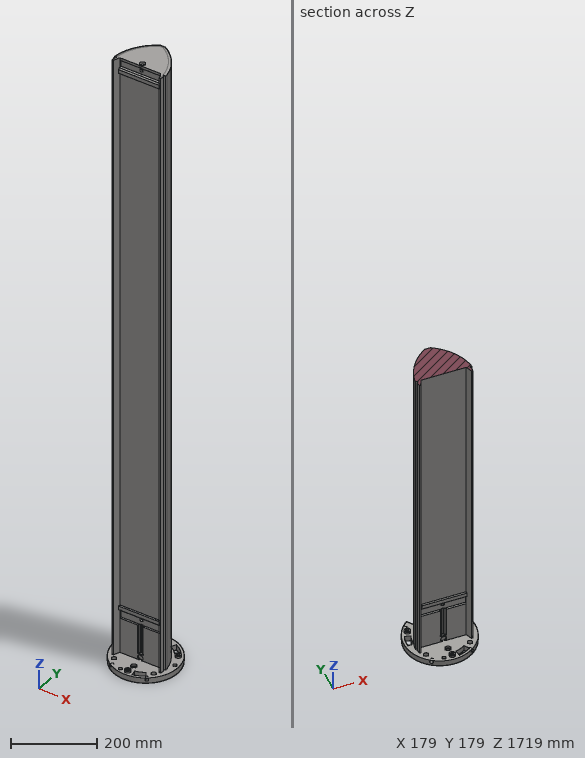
import cadquery as cq
import math

total_height = 1719.0
plate_diameter = 179.0
plate_thickness = 15.0

column_half_width = 70.0
shoulder_y = -17.0
lip_tip_y = -40.0
back_y = 72.0
back_flat_half_width = 7.0
side_bulge = (45.5, 38.7)
lip_outer_half_width = 67.0
lip_inner_half_width = 64.0
lip_groove_start_y = -24.0
lip_groove_end_y = -30.0
lip_groove_depth = 5.0
lip_ridge_half_width = 69.0
panel_half_width = 57.0

end_plate_y = -18.0
panel_y = -23.2
bar_y = -28.4
cap_thickness = 7.0
end_plate_height = 20.0
door_top_z = 113.0
bar_bottom_z = 138.0
bar_height = 14.0
bar_chamfer = 3.0
end_screw_diameter = 8.5
end_screw_depth = 5.0
end_screw_offset = 10.0

groove_width = 15.0
groove_depth = 3.0
inner_groove_width = 5.0
inner_groove_depth = 7.0
groove_bottom_z = 33.0
door_hole_diameter = 15.0
door_hole_z = 22.0

cap_bevel_width = 7.0
cap_bevel_height = 2.0
cap_notch_diameter = 15.0
cap_notch_y = -14.0

hanger_y = -2.0
hanger_width = 9.5
hanger_head_radius = 15.0
hanger_head_z = 1635.0
hanger_bottom_z = 1540.0
hanger_depth = 10.0
hanger_inner_width = 4.5
hanger_inner_depth = 15.0

bolt_circle_radius = 75.0
bolt_head_diameter = 15.0
bolt_head_height = 5.0
bolt_socket_diameter = 7.7
bolt_socket_depth = 3.0
bolt_angles = (-90, 30, 150)
slot_radius = 74.8
slot_width = 15.0
slot_start_angle = 161
slot_end_angle = 184
notch_start_angle = 99
notch_end_angle = 127
notch_floor_radius = 67.0
front_hole_x = 55.0
front_hole_y = -50.0
front_hole_diameter = 12.0
center_hole_diameter = 7.7
center_counterbore_diameter = 15.0
center_counterbore_depth = 5.0
pin_holes = (((-20.0, -75.0), 9.0), ((77.0, 5.0), 9.5))
pin_hole_depth = 7.0
rim_hole_angles = (-125, -55, 138)
rim_hole_diameter = 8.5
rim_hole_z = 10.0
rim_hole_depth = 9.0

plate_radius = plate_diameter / 2
column_height = total_height - plate_thickness


def polar(radius, angle):
    """Point at a radius and an angle in degrees about the Z axis."""
    turn = math.radians(angle)
    return (radius * math.cos(turn), radius * math.sin(turn))


def front_box(half_width, front_y, rear_y, bottom_z, top_z):
    """Box centred on X = 0 between two Y planes and two heights."""
    size = (2 * half_width, rear_y - front_y, top_z - bottom_z)
    return cq.Workplane("XY").box(*size, centered=(True, False, False)).translate((0, front_y, bottom_z))


def front_hole(diameter, z, front_y, depth):
    """Blind round cutter entering a front face towards +Y."""
    cutter = cq.Workplane("XZ").center(0, z).circle(diameter / 2).extrude(-depth)
    return cutter.translate((0, front_y, 0))


def column_shell():
    """Column with a rounded V back and two lips with sloped inner walls beside the front recess."""
    bulge_x, bulge_y = side_bulge
    groove_x = column_half_width - lip_groove_depth
    outline = (
        cq.Workplane("XY", origin=(0, 0, plate_thickness))
        .moveTo(-back_flat_half_width, back_y)
        .lineTo(back_flat_half_width, back_y)
        .threePointArc((bulge_x, bulge_y), (column_half_width, shoulder_y))
        .lineTo(column_half_width, lip_groove_start_y)
        .lineTo(groove_x, lip_groove_start_y)
        .lineTo(lip_ridge_half_width, lip_groove_end_y)
        .lineTo(lip_outer_half_width, lip_tip_y)
        .lineTo(lip_inner_half_width, lip_tip_y)
        .lineTo(panel_half_width, panel_y)
        .lineTo(-panel_half_width, panel_y)
        .lineTo(-lip_inner_half_width, lip_tip_y)
        .lineTo(-lip_outer_half_width, lip_tip_y)
        .lineTo(-lip_ridge_half_width, lip_groove_end_y)
        .lineTo(-groove_x, lip_groove_start_y)
        .lineTo(-column_half_width, lip_groove_start_y)
        .lineTo(-column_half_width, shoulder_y)
        .threePointArc((-bulge_x, bulge_y), (-back_flat_half_width, back_y))
        .close()
    )
    column = outline.extrude(column_height)
    rear_edges = cq.selectors.BoxSelector(
        (-plate_radius, shoulder_y, total_height - cap_bevel_height),
        (plate_radius, plate_radius, total_height + cap_bevel_height),
    )
    return column.edges(rear_edges).chamfer(cap_bevel_height, cap_bevel_width)


def end_bar(bottom_z, beveled_edge):
    """Raised bar across the recess, beveled on the edge next to its end plate."""
    bar = front_box(panel_half_width, bar_y, end_plate_y, bottom_z, bottom_z + bar_height)
    return bar.faces("<Y").edges(beveled_edge).chamfer(bar_chamfer)


upper_bar_top_z = total_height - cap_thickness - end_plate_height
upper_bar_bottom_z = upper_bar_top_z - bar_height
column = column_shell()
for bottom_z, top_z in (
    (door_top_z, bar_bottom_z),
    (upper_bar_top_z, upper_bar_top_z + end_plate_height),
):
    column = column.cut(front_box(panel_half_width, panel_y, end_plate_y, bottom_z, top_z))
column = column.union(end_bar(bar_bottom_z, "<Z"))
column = column.union(end_bar(upper_bar_bottom_z, ">Z"))

for screw_z in (bar_bottom_z - end_screw_offset, upper_bar_top_z + end_screw_offset):
    column = column.cut(front_hole(end_screw_diameter, screw_z, end_plate_y, end_screw_depth))

for width, depth in ((groove_width, groove_depth), (inner_groove_width, inner_groove_depth)):
    column = column.cut(front_box(width / 2, panel_y, panel_y + depth, groove_bottom_z, door_top_z))
column = column.cut(front_hole(door_hole_diameter, door_hole_z, panel_y, groove_depth))

column = column.cut(
    cq.Workplane("XY", origin=(0, cap_notch_y, total_height - cap_thickness))
    .circle(cap_notch_diameter / 2)
    .extrude(cap_thickness)
)

hanger_left = hanger_y - hanger_head_radius
hanger_right = hanger_y + hanger_head_radius
head = (
    cq.Workplane("YZ")
    .moveTo(hanger_left, hanger_head_z)
    .threePointArc((hanger_y, hanger_head_z + hanger_head_radius), (hanger_right, hanger_head_z))
    .close()
    .extrude(hanger_depth)
)
column = column.cut(head.translate((-column_half_width, 0, 0)))
for width, depth in ((hanger_width, hanger_depth), (hanger_inner_width, hanger_inner_depth)):
    length = hanger_head_z - hanger_bottom_z + width / 2
    stem = (
        cq.Workplane("YZ")
        .center(hanger_y, hanger_head_z - (length - width) / 2)
        .slot2D(length, width, 90)
        .extrude(depth)
    )
    column = column.cut(stem.translate((-column_half_width, 0, 0)))

plate = cq.Workplane("XY").circle(plate_radius).extrude(plate_thickness)


def curved_slot(start_angle, end_angle):
    """Curved slot with radial ends along the slot circle, through the plate."""
    middle_angle = (start_angle + end_angle) / 2
    inner_radius = slot_radius - slot_width / 2
    outer_radius = slot_radius + slot_width / 2
    return (
        cq.Workplane("XY")
        .moveTo(*polar(inner_radius, start_angle))
        .threePointArc(polar(inner_radius, middle_angle), polar(inner_radius, end_angle))
        .lineTo(*polar(outer_radius, end_angle))
        .threePointArc(polar(outer_radius, middle_angle), polar(outer_radius, start_angle))
        .close()
        .extrude(plate_thickness)
    )


for turn in (0, 120, 240):
    plate = plate.cut(curved_slot(slot_start_angle + turn, slot_end_angle + turn))

notch_middle_angle = (notch_start_angle + notch_end_angle) / 2
notch = (
    cq.Workplane("XY")
    .moveTo(*polar(notch_floor_radius, notch_start_angle))
    .threePointArc(
        polar(notch_floor_radius, notch_middle_angle), polar(notch_floor_radius, notch_end_angle)
    )
    .lineTo(*polar(plate_diameter, notch_end_angle))
    .lineTo(*polar(plate_diameter, notch_start_angle))
    .close()
    .extrude(plate_thickness)
)
plate = plate.cut(notch)

bolt_top_z = plate_thickness + bolt_head_height
for angle in bolt_angles:
    plate = plate.union(
        cq.Workplane("XY")
        .center(*polar(bolt_circle_radius, angle))
        .circle(bolt_head_diameter / 2)
        .extrude(bolt_top_z)
    )
    plate = plate.cut(
        cq.Workplane("XY", origin=(0, 0, bolt_top_z))
        .center(*polar(bolt_circle_radius, angle))
        .circle(bolt_socket_diameter / 2)
        .extrude(-bolt_socket_depth)
    )

plate_top = cq.Workplane("XY", origin=(0, 0, plate_thickness))
for side in (-1, 1):
    plate = plate.cut(
        plate_top.center(side * front_hole_x, front_hole_y)
        .circle(front_hole_diameter / 2)
        .extrude(-plate_thickness)
    )
for diameter, depth in (
    (center_hole_diameter, plate_thickness),
    (center_counterbore_diameter, center_counterbore_depth),
):
    plate = plate.cut(plate_top.center(0, front_hole_y).circle(diameter / 2).extrude(-depth))
for position, diameter in pin_holes:
    plate = plate.cut(plate_top.center(*position).circle(diameter / 2).extrude(-pin_hole_depth))

for angle in rim_hole_angles:
    plate = plate.cut(
        cq.Workplane("YZ")
        .center(0, rim_hole_z)
        .circle(rim_hole_diameter / 2)
        .extrude(2 * rim_hole_depth)
        .translate((plate_radius - rim_hole_depth, 0, 0))
        .rotate((0, 0, 0), (0, 0, 1), angle)
    )

result = plate.union(column)